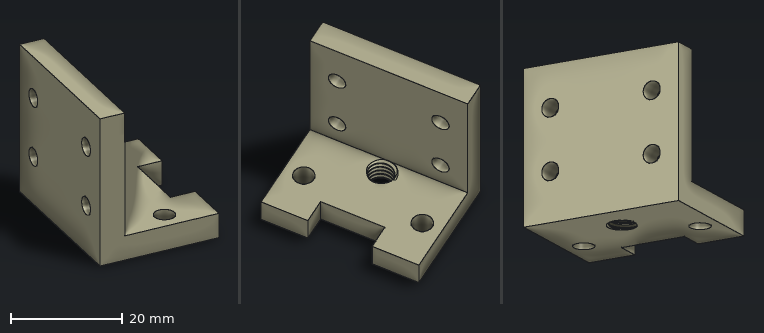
import cadquery as cq
import math

width = 32.0
depth = 24.0
height = 30.0
thickness = 5.0

wall_hole_diameter = 3.5
wall_hole_spacing_x = 20.93
wall_hole_spacing_z = 12.0
wall_hole_lower_z = 9.7

base_hole_diameter = 4.0
base_hole_spacing = 24.0
base_hole_y = 15.0

thread_minor_diameter = 5.02
thread_major_diameter = 6.15
thread_pitch = 1.0
thread_half_angle = 30
thread_root_width = thread_pitch / 8
thread_hole_y = 8.0

notch_width = 13.0
notch_depth = 5.0


def vertical_hole(x, y, diameter):
    """Cylinder that cuts through the base plate."""
    return cq.Workplane("XY").center(x, y).circle(diameter / 2).extrude(thickness)


def thread_groove():
    """Helical groove around Z, running one pitch past both faces of the base plate."""
    minor_radius = thread_minor_diameter / 2
    major_radius = thread_major_diameter / 2
    half_root = thread_root_width / 2
    flank_rise = (major_radius - minor_radius) * math.tan(math.radians(thread_half_angle))
    half_mouth = half_root + flank_rise
    length = thickness + 2 * thread_pitch

    section = [
        (minor_radius, -half_mouth),
        (major_radius, -half_root),
        (major_radius, half_root),
        (minor_radius, half_mouth),
    ]

    helices = []
    for radius, z in section:
        helix = cq.Wire.makeHelix(thread_pitch, length, radius)
        helices.append(helix.translate(cq.Vector(0, 0, z)))
    faces = []
    for index, helix in enumerate(helices):
        faces.append(cq.Face.makeRuledSurface(helix, helices[index - 1]))

    for rise in (0, length):
        turn = 2 * math.pi * rise / thread_pitch
        corners = [cq.Vector(r * math.cos(turn), r * math.sin(turn), z + rise) for r, z in section]
        faces.append(cq.Face.makeFromWires(cq.Wire.makePolygon(corners, close=True)))
    groove = cq.Workplane(obj=cq.Solid.makeSolid(cq.Shell.makeShell(faces)))

    top_angle = 360 * (thickness + thread_pitch) / thread_pitch
    front_angle = -90
    groove = groove.rotate((0, 0, 0), (0, 0, 1), front_angle - top_angle)
    return groove.translate((0, 0, -thread_pitch))


base = cq.Workplane("XY").box(width, depth, thickness, centered=(True, False, False))
base = base.cut(vertical_hole(0, thread_hole_y, thread_minor_diameter))
base = base.cut(thread_groove().translate((0, thread_hole_y, 0)))

for side in (-1, 1):
    base = base.cut(vertical_hole(side * base_hole_spacing / 2, base_hole_y, base_hole_diameter))

notch = cq.Workplane("XY").box(notch_width, notch_depth, thickness, centered=(True, False, False))
base = base.cut(notch.translate((0, depth - notch_depth, 0)))

upright = (
    cq.Workplane("XY")
    .workplane(offset=thickness)
    .box(width, thickness, height - thickness, centered=(True, False, False))
)

wall_holes = (
    cq.Workplane("XZ")
    .center(0, wall_hole_lower_z + wall_hole_spacing_z / 2)
    .rarray(wall_hole_spacing_x, wall_hole_spacing_z, 2, 2)
    .circle(wall_hole_diameter / 2)
    .extrude(-thickness)
)
upright = upright.cut(wall_holes)

bracket = base.union(upright).clean()
result = cq.Workplane(obj=bracket.solids().val())